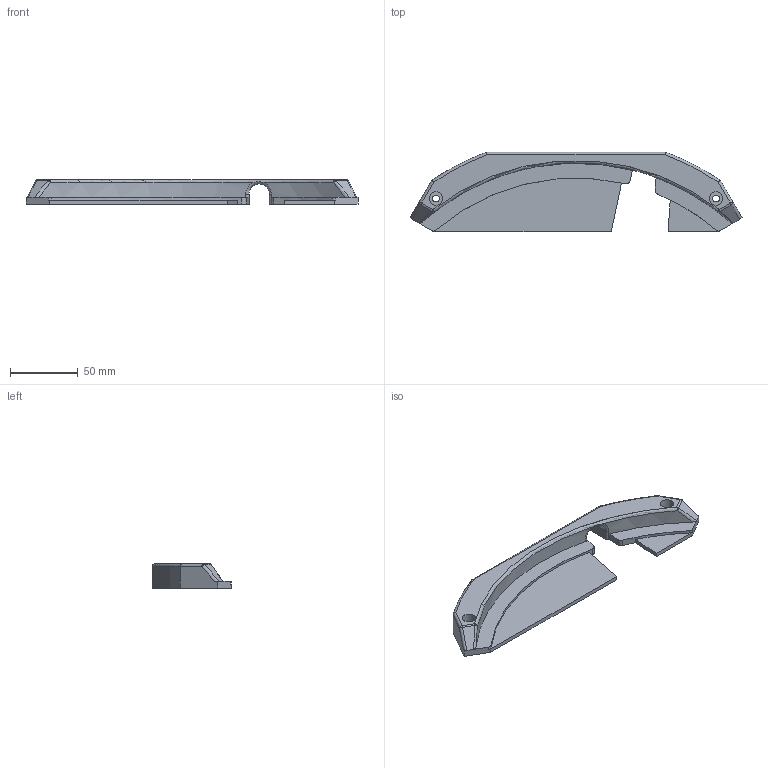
import cadquery as cq
import math

HEIGHT = 18.0
LEDGE_HEIGHT = 5.0
PLATE_HEIGHT = 3.0

WIDTH = 245.28
DEPTH = 58.65
OUTER_RADIUS = 190.0
WALL_RADIUS = 170.0
LEDGE_RADIUS = 159.0
BACK_Y = 178.0
FRONT_Y = BACK_Y - DEPTH
END_ANGLE = math.radians(30.0)
EDGE_FILLET = 2.0

HOLE_X = 103.5
HOLE_Y = BACK_Y - 34.2
HOLE_DIAMETER = 5.0
HEAD_DIAMETER = 10.0

TUNNEL_X = 49.7
TUNNEL_RADIUS = 7.5
TUNNEL_MOUTH_FILLET = 2.0

LEFT_LEAN = math.radians(12.0)
RIGHT_LEAN = math.radians(4.0)
PLATE_GAP_LEFT = 26.0
PLATE_GAP_RIGHT = 68.0
LEDGE_GAP_LEFT = 32.0
LEDGE_GAP_RIGHT = 56.4
LEDGE_GAP_FILLET = 3.0
LEDGE_END_FILLET = 2.0

MARGIN = 1.0

front_corner_x = math.sqrt(LEDGE_RADIUS**2 - FRONT_Y**2)
tip_x = WIDTH / 2
tip_y = FRONT_Y + (tip_x - front_corner_x) * math.tan(END_ANGLE)
back_corner_x = math.sqrt(OUTER_RADIUS**2 - BACK_Y**2)

side_x = -math.sin(END_ANGLE)
side_y = math.cos(END_ANGLE)
tip_along_side = tip_x * side_x + tip_y * side_y
tip_gap = tip_x**2 + tip_y**2 - OUTER_RADIUS**2
side_length = -tip_along_side + math.sqrt(tip_along_side**2 - tip_gap)
shoulder_x = tip_x + side_length * side_x
shoulder_y = tip_y + side_length * side_y


def on_outer_arc(angle):
    return (OUTER_RADIUS * math.cos(angle), OUTER_RADIUS * math.sin(angle))


def make_outline(height):
    """Full plan outline of the part, extruded up from the base."""
    shoulder_angle = math.atan2(shoulder_y, shoulder_x)
    back_angle = math.atan2(BACK_Y, back_corner_x)
    mid_angle = (shoulder_angle + back_angle) / 2
    return (
        cq.Workplane("XY")
        .moveTo(front_corner_x, FRONT_Y)
        .lineTo(tip_x, tip_y)
        .lineTo(shoulder_x, shoulder_y)
        .threePointArc(on_outer_arc(mid_angle), (back_corner_x, BACK_Y))
        .lineTo(-back_corner_x, BACK_Y)
        .threePointArc(on_outer_arc(math.pi - mid_angle), (-shoulder_x, shoulder_y))
        .lineTo(-tip_x, tip_y)
        .lineTo(-front_corner_x, FRONT_Y)
        .close()
        .extrude(height)
    )


def make_disc(radius, height):
    return cq.Workplane("XY").circle(radius).extrude(height)


def make_end_cutter():
    """Wedge that slopes the right end of the wall at 45 degrees, rising from the end edge."""
    reach = 2 * HEIGHT
    end_plane = cq.Plane(
        origin=(tip_x, tip_y, LEDGE_HEIGHT),
        xDir=(side_x, side_y, 0),
        normal=(math.cos(END_ANGLE), math.sin(END_ANGLE), 0),
    )
    return (
        cq.Workplane(end_plane)
        .polyline([(-reach, 0), (0, 0), (reach, reach), (-reach, reach)])
        .close()
        .extrude(reach, both=True)
    )


def make_tunnel():
    """Round-topped passage along Y, open at the base."""
    arch = cq.Workplane("XZ").center(TUNNEL_X, TUNNEL_RADIUS).circle(TUNNEL_RADIUS)
    arch = arch.extrude(-2 * BACK_Y)
    legs = cq.Workplane("XY").box(
        2 * TUNNEL_RADIUS, 2 * BACK_Y, TUNNEL_RADIUS, centered=(True, False, False)
    )
    return arch.union(legs.translate((TUNNEL_X, 0, 0)))


def make_wall_blank():
    return make_outline(HEIGHT).cut(make_disc(WALL_RADIUS, HEIGHT))


def make_rounded_wall():
    """Wall with sloped ends, and with its top and slope edges rounded."""
    end_cutter = make_end_cutter()
    wall = make_wall_blank().cut(end_cutter).cut(end_cutter.mirror("YZ"))
    slope_edges = cq.selectors.BoxSelector(
        (-tip_x, FRONT_Y, LEDGE_HEIGHT + MARGIN), (tip_x, tip_y + HEIGHT, HEIGHT - MARGIN)
    )
    top_edges = wall.faces(">Z").edges()
    return top_edges.add(wall.edges(slope_edges)).fillet(EDGE_FILLET)


def make_tunnelled_wall():
    """Wall with the tunnel through it, the tunnel rounded where it opens on the inner face."""
    wall = make_wall_blank().cut(make_tunnel())
    mouth_left_x = TUNNEL_X - TUNNEL_RADIUS
    mouth_right_x = TUNNEL_X + TUNNEL_RADIUS
    mouth_back_y = math.sqrt(WALL_RADIUS**2 - mouth_left_x**2)
    mouth_edges = cq.selectors.BoxSelector(
        (mouth_left_x - MARGIN, FRONT_Y, MARGIN),
        (mouth_right_x + MARGIN, mouth_back_y + MARGIN, 2 * TUNNEL_RADIUS),
    )
    return wall.edges(mouth_edges).fillet(TUNNEL_MOUTH_FILLET)


def make_wall():
    """Wall that has both the rounded edges and the tunnel."""
    return make_rounded_wall().intersect(make_tunnelled_wall())


def make_gap(left_x, right_x, height):
    """Gap with leaning sides, from the front edge back to the rear edge."""
    run = BACK_Y - FRONT_Y
    return (
        cq.Workplane("XY")
        .polyline([
            (left_x, FRONT_Y),
            (right_x, FRONT_Y),
            (right_x + run * math.tan(RIGHT_LEAN), BACK_Y),
            (left_x + run * math.tan(LEFT_LEAN), BACK_Y),
        ])
        .close()
        .extrude(height)
    )


def make_ledge():
    """Step along the foot of the wall, running on under it, with rounded front corners."""
    ledge = make_outline(LEDGE_HEIGHT).cut(make_disc(LEDGE_RADIUS, LEDGE_HEIGHT))
    ledge = ledge.cut(make_gap(LEDGE_GAP_LEFT, LEDGE_GAP_RIGHT, LEDGE_HEIGHT))
    gap_corners = cq.selectors.BoxSelector(
        (LEDGE_GAP_LEFT, FRONT_Y, 0), (front_corner_x - MARGIN, LEDGE_RADIUS, LEDGE_HEIGHT)
    )
    ledge = ledge.edges("|Z").edges(gap_corners).fillet(LEDGE_GAP_FILLET)
    end_corners = cq.selectors.BoxSelector(
        (-tip_x, FRONT_Y - MARGIN, 0), (tip_x, FRONT_Y + MARGIN, LEDGE_HEIGHT)
    )
    ledge = ledge.edges("|Z").edges(end_corners).fillet(LEDGE_END_FILLET)
    return ledge.cut(make_tunnel())


def make_plate():
    """Thin floor in front of the ledge, running on under the ledge and the wall."""
    return make_outline(PLATE_HEIGHT).cut(make_gap(PLATE_GAP_LEFT, PLATE_GAP_RIGHT, PLATE_HEIGHT))


def make_screw_holes():
    """Through holes with head recesses from the top down to the ledge height."""
    spots = [(-HOLE_X, HOLE_Y), (HOLE_X, HOLE_Y)]
    shafts = cq.Workplane("XY").pushPoints(spots).circle(HOLE_DIAMETER / 2).extrude(HEIGHT)
    heads = (
        cq.Workplane("XY", origin=(0, 0, LEDGE_HEIGHT))
        .pushPoints(spots)
        .circle(HEAD_DIAMETER / 2)
        .extrude(HEIGHT)
    )
    return shafts.union(heads)


body = make_wall().union(make_ledge()).union(make_plate())
result = body.cut(make_screw_holes()).clean().solids()